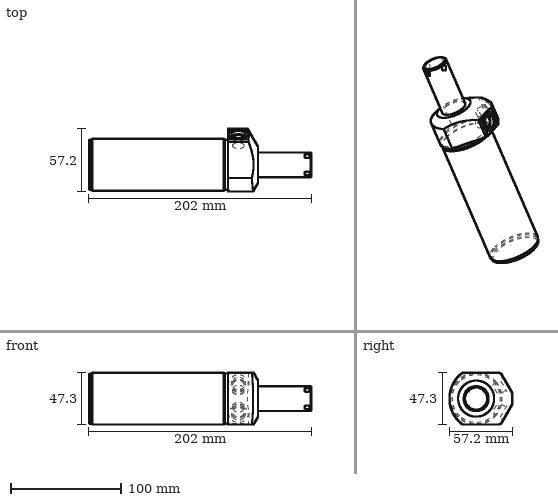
import cadquery as cq
import math

length = 202.0
body_diameter = 47.3
body_radius = body_diameter / 2

end_face_radius = 21.6
end_step_radius = 22.8
end_chamfer_length = 0.8
end_step_length = 2.6
end_shoulder = 3.5
barrel_end = 122.0
neck_start = 123.2
neck_radius = 22.8

head_start = 126.3
head_end = 153.5
head_back = -24.35
head_front = 32.83
back_flat_end = -12.1
front_half_height = 5.3
slant_angle = 60.0
slant_top_y = 22.8
top_flat_end = 20.6
nose_radius = 16.4

port_x = 135.5
port_mouth_diameter = 13.0
port_mouth_depth = 3.6
port_bore_diameter = 10.5
port_depth = 12.1
spotface_diameter = 17.8
spotface_depth = 0.2

rod_diameter = 22.6
rod_chamfer = 1.2
dimple_diameter = 4.8
dimple_x = 198.0

slope = math.tan(math.radians(slant_angle))


def slant_height(y):
    """Height of the upper slanted face at a given Y."""
    return front_half_height + slope * (head_front - y)


def make_barrel():
    """Closed barrel with a stepped end, and the neck that joins it to the head."""
    profile = [
        (0, 0),
        (0, end_face_radius),
        (end_chamfer_length, end_step_radius),
        (end_step_length, end_step_radius),
        (end_shoulder, body_radius),
        (barrel_end, body_radius),
        (neck_start, neck_radius),
        (head_start, neck_radius),
        (head_start, 0),
    ]
    return cq.Workplane("XY").polyline(profile).close().revolve(360, (0, 0, 0), (1, 0, 0))


def make_head():
    """Head block: flat top and bottom, round back, slanted front and a conical nose."""
    upper_edge = [
        (head_front, front_half_height),
        (slant_top_y, slant_height(slant_top_y)),
        (top_flat_end, body_radius),
        (back_flat_end, body_radius),
    ]
    lower_edge = [(y, -z) for y, z in reversed(upper_edge)]
    block = (
        cq.Workplane("YZ", origin=(head_start, 0, 0))
        .polyline(upper_edge)
        .threePointArc((head_back, 0), lower_edge[0])
        .polyline(lower_edge[1:], includeCurrent=True)
        .close()
        .extrude(head_end - head_start)
    )
    head_length = head_end - head_start
    cone_base_radius = nose_radius + slope * head_length
    cone = cq.Workplane(
        cq.Solid.makeCone(
            cone_base_radius, nose_radius, head_length,
            pnt=cq.Vector(head_start, 0, 0), dir=cq.Vector(1, 0, 0),
        )
    )
    return block.intersect(cone)


def make_rod():
    """Rod with a chamfered tip and four 90 degree conical dimples around it."""
    rod = (
        cq.Workplane("YZ", origin=(head_end, 0, 0))
        .circle(rod_diameter / 2)
        .extrude(length - head_end)
        .faces(">X")
        .chamfer(rod_chamfer)
    )
    dimple_radius = dimple_diameter / 2
    chord_height = math.sqrt((rod_diameter / 2) ** 2 - dimple_radius ** 2)
    tip_height = chord_height - dimple_radius
    cone_height = rod_diameter / 2 - tip_height
    for angle in (45, 135, 225, 315):
        dimple = cq.Solid.makeCone(
            0, cone_height, cone_height,
            pnt=cq.Vector(dimple_x, 0, tip_height), dir=cq.Vector(0, 0, 1),
        )
        rod = rod.cut(cq.Workplane(dimple).rotate((0, 0, 0), (1, 0, 0), angle))
    return rod


def make_port(side):
    """Spotfaced, stepped blind hole square to a slanted face; side is 1 above, -1 below."""
    center_y = (head_front + slant_top_y) / 2
    center = cq.Vector(port_x, center_y, side * slant_height(center_y))
    angle = math.radians(slant_angle)
    inward = cq.Vector(0, -math.sin(angle), -side * math.cos(angle))
    port_steps = (
        (spotface_diameter, spotface_depth),
        (port_mouth_diameter, port_mouth_depth),
        (port_bore_diameter, port_depth),
    )
    steps = [
        cq.Solid.makeCylinder(diameter / 2, depth, center, inward)
        for diameter, depth in port_steps
    ]
    return cq.Workplane(steps[0].fuse(*steps[1:]))


result = make_barrel().union(make_head()).union(make_rod())
for side in (1, -1):
    result = result.cut(make_port(side))